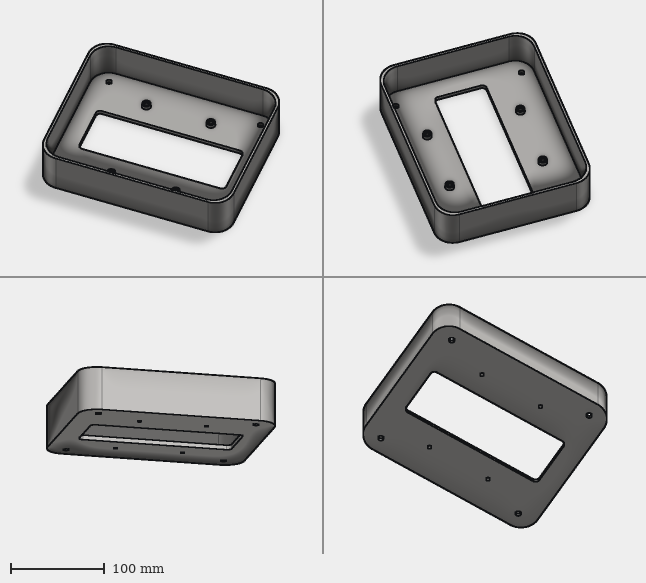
import cadquery as cq
import math

length = 216.1
width = 174.2
height = 47.1
corner_radius = 21.2
inner_radius = 21.2
wall = 3.0
floor = 5.0

window_length = 167.3
window_width = 58.0
window_radius = 5.0

mount_spacing_x = 173.0
mount_spacing_y = 141.5
mount_diameter = 6.0

standoff_spacing_x = 73.5
standoff_spacing_y = 104.8
standoff_base_diameter = 10.0
standoff_top_diameter = 9.0
standoff_height = 4.0
countersink_diameter = 6.5
countersink_depth = 1.0
screw_diameter = 4.0


def rounded_block(size_x, size_y, size_z, radius, base_z):
    """Upright block with rounded vertical edges, centred on the Z axis."""
    block = cq.Workplane("XY").workplane(offset=base_z).rect(size_x, size_y).extrude(size_z)
    return block.edges("|Z").fillet(radius)


def four_round(spacing_x, spacing_y, base_z, top_z, base_diameter, top_diameter):
    """A cylinder or cone frustum at each corner of a centred rectangle."""
    height_z = top_z - base_z
    taper = math.degrees(math.atan((base_diameter - top_diameter) / 2 / height_z))
    plane = cq.Workplane("XY").workplane(offset=base_z)
    centres = plane.rect(spacing_x, spacing_y, forConstruction=True).vertices()
    return centres.circle(base_diameter / 2).extrude(height_z, taper=taper)


def at_standoffs(base_z, top_z, base_diameter, top_diameter):
    return four_round(standoff_spacing_x, standoff_spacing_y, base_z, top_z, base_diameter, top_diameter)


tray = rounded_block(length, width, height, corner_radius, 0)
cavity = rounded_block(length - 2 * wall, width - 2 * wall, height - floor, inner_radius, floor)
tray = tray.cut(cavity)

mount_holes = four_round(mount_spacing_x, mount_spacing_y, 0, floor, mount_diameter, mount_diameter)
tray = tray.cut(rounded_block(window_length, window_width, floor, window_radius, 0))
tray = tray.cut(mount_holes)

standoff_top = floor + standoff_height
countersink_base = standoff_top - countersink_depth
tray = tray.union(at_standoffs(floor, standoff_top, standoff_base_diameter, standoff_top_diameter))
tray = tray.cut(at_standoffs(0, standoff_top, screw_diameter, screw_diameter))
tray = tray.cut(at_standoffs(countersink_base, standoff_top, screw_diameter, countersink_diameter))

result = tray